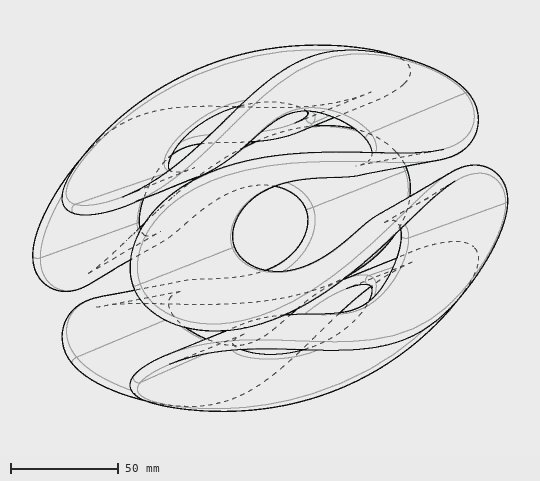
import cadquery as cq
import math

PERIODS = 5
HALF_PITCH = 180 / PERIODS
FIRST_TIP_ANGLE = 3 * HALF_PITCH
THICKNESS = 4.5
SECTIONS = 17
TANGENT_STEP = 0.0001

OUTER_EDGE = {
    "reach": 104,
    "tip_radius": 44.3,
    "mid_radius": 81.5,
    "swing": 22.5,
    "skew": 1.8,
    "bulge": 0.6,
}
INNER_EDGE = {
    "reach": 45.3,
    "tip_radius": 42.0,
    "mid_radius": 58.7,
    "swing": 12,
    "skew": 0,
    "bulge": 0,
}


def edge_point(edge, phase):
    """Point on a ribbon edge; phase runs from 0 at the -Y tip to pi at the +Y tip."""
    rise = edge["mid_radius"] - edge["tip_radius"]
    radius = edge["tip_radius"] + rise * math.sin(phase) ** 2
    radius += edge["bulge"] * math.sin(2 * phase) ** 2
    turn = HALF_PITCH * phase / math.pi + edge["swing"] * math.sin(2 * phase)
    turn += edge["skew"] * math.sin(4 * phase)
    angle = math.radians(FIRST_TIP_ANGLE - turn)
    return cq.Vector(
        radius * math.cos(angle),
        -edge["reach"] * math.cos(phase),
        radius * math.sin(angle),
    )


def middle_point(phase):
    return (edge_point(OUTER_EDGE, phase) + edge_point(INNER_EDGE, phase)) * 0.5


def cross_section(phase):
    """Flat wire across the ribbon: two straight sides joined by half-round edges."""
    half = THICKNESS / 2
    outer = edge_point(OUTER_EDGE, phase)
    inner = edge_point(INNER_EDGE, phase)
    across = (outer - inner).normalized()
    along = middle_point(phase + TANGENT_STEP) - middle_point(phase - TANGENT_STEP)
    offset = across.cross(along).normalized() * half
    outer_centre = outer - across * half
    inner_centre = inner + across * half
    return cq.Wire.assembleEdges([
        cq.Edge.makeLine(inner_centre + offset, outer_centre + offset),
        cq.Edge.makeThreePointArc(outer_centre + offset, outer, outer_centre - offset),
        cq.Edge.makeLine(outer_centre - offset, inner_centre - offset),
        cq.Edge.makeThreePointArc(inner_centre - offset, inner, inner_centre + offset),
    ])


def strip():
    """Ribbon between one -Y tip and the next +Y tip."""
    phases = [math.pi * i / (SECTIONS - 1) for i in range(SECTIONS)]
    return cq.Solid.makeLoft([cross_section(phase) for phase in phases])


def ribbon():
    """Strips alternate with their mirror images, meeting at the tips."""
    forward = strip()
    backward = forward.mirror("XY").rotate(
        cq.Vector(), cq.Vector(0, 1, 0), -2 * FIRST_TIP_ANGLE
    )
    pieces = []
    for i in range(PERIODS):
        turn = i * 2 * HALF_PITCH
        for piece in (forward, backward):
            pieces.append(piece.rotate(cq.Vector(), cq.Vector(0, 1, 0), turn))
    return pieces[0].fuse(*pieces[1:])


result = cq.Workplane("XY").newObject([ribbon().Solids()[0]])